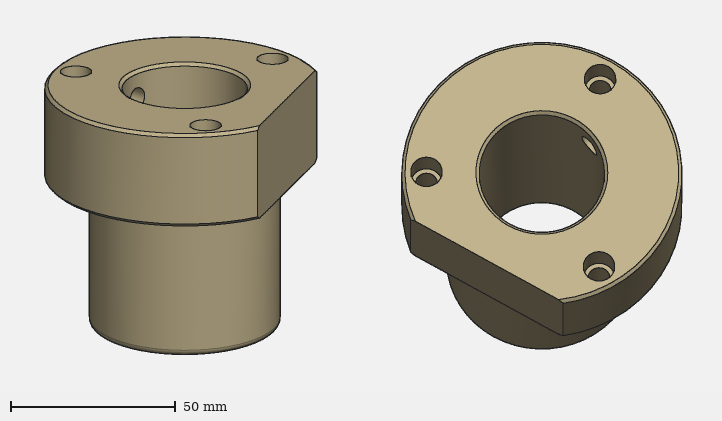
import cadquery as cq
import math

flange_diameter = 85.0
flange_thickness = 30.0
flange_chamfer = 1.0
flat_distance = 33.0

total_height = 77.0
sleeve_diameter = 58.0
sleeve_fillet = 2.0
neck_depth = 0.75
neck_width = 1.25
neck_taper_height = 0.6

bore_diameter = 38.0
bore_chamfer = 1.0

screw_circle_radius = 35.0
screw_hole_angles = (60.0, 180.0, 300.0)
screw_hole_diameter = 6.6
counterbore_diameter = 9.5
counterbore_depth = 10.0

port_diameter = 7.0
port_depth_below_top = 9.0
port_angle = 160.0

flange_radius = flange_diameter / 2
sleeve_radius = sleeve_diameter / 2
bore_radius = bore_diameter / 2


def make_flange():
    """Disc chamfered on both rims, then cut flat on the +X side."""
    disc = (
        cq.Workplane("XY")
        .workplane(offset=-flange_thickness)
        .circle(flange_radius)
        .extrude(flange_thickness)
        .edges()
        .chamfer(flange_chamfer)
    )
    beyond_flat = (
        cq.Workplane("XY")
        .box(flange_diameter, flange_diameter, 2 * flange_thickness)
        .translate((flat_distance + flange_radius, 0, -flange_thickness))
    )
    return disc.cut(beyond_flat)


def make_sleeve():
    """Revolved sleeve with a relief neck at the top and a rounded lower rim."""
    neck_radius = sleeve_radius - neck_depth
    neck_bottom = -flange_thickness - neck_width
    profile = (
        cq.Workplane("XZ")
        .moveTo(0, -flange_thickness)
        .lineTo(neck_radius, -flange_thickness)
        .lineTo(neck_radius, neck_bottom)
        .lineTo(sleeve_radius, neck_bottom - neck_taper_height)
        .lineTo(sleeve_radius, -total_height)
        .lineTo(0, -total_height)
        .close()
    )
    sleeve = profile.revolve(360, (0, 0, 0), (0, 1, 0))
    return sleeve.faces("<Z").edges().fillet(sleeve_fillet)


def cut_bore(body):
    """Through bore, chamfered at the top face."""
    bore = cq.Workplane("XY").circle(bore_radius).extrude(-total_height)
    mouth = cq.Solid.makeCone(
        bore_radius,
        bore_radius + bore_chamfer,
        bore_chamfer,
        pnt=cq.Vector(0, 0, -bore_chamfer),
    )
    return body.cut(bore).cut(cq.Workplane(obj=mouth))


def cut_screw_holes(body):
    """Counterbored holes through the flange, spaced on the screw circle."""
    centres = [
        (
            screw_circle_radius * math.cos(math.radians(angle)),
            screw_circle_radius * math.sin(math.radians(angle)),
        )
        for angle in screw_hole_angles
    ]
    holes = (
        cq.Workplane("XY")
        .pushPoints(centres)
        .circle(screw_hole_diameter / 2)
        .extrude(-flange_thickness)
    )
    counterbores = (
        cq.Workplane("XY")
        .pushPoints(centres)
        .circle(counterbore_diameter / 2)
        .extrude(-counterbore_depth)
    )
    return body.cut(holes).cut(counterbores)


def cut_port(body):
    """Radial hole that starts on the bore axis and leaves through the rim."""
    direction = cq.Vector(
        math.cos(math.radians(port_angle)),
        math.sin(math.radians(port_angle)),
        0,
    )
    port = cq.Solid.makeCylinder(
        port_diameter / 2,
        flange_diameter,
        pnt=cq.Vector(0, 0, -port_depth_below_top),
        dir=direction,
    )
    return body.cut(cq.Workplane(obj=port))


result = make_flange().union(make_sleeve())
result = cut_bore(result)
result = cut_screw_holes(result)
result = cut_port(result)